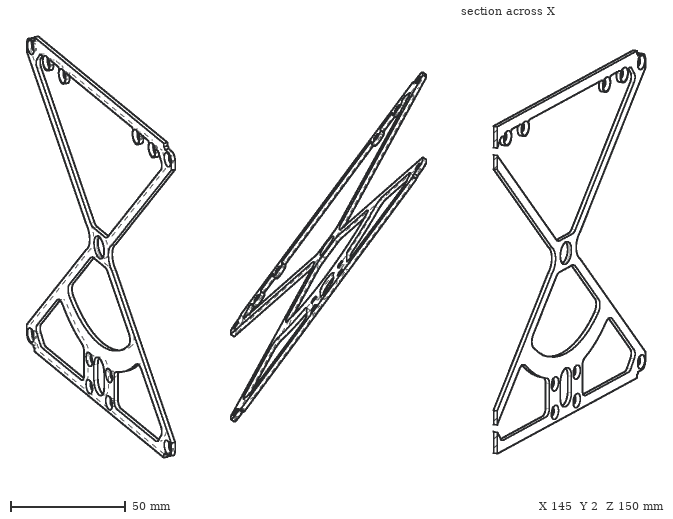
import cadquery as cq
import math

height = 150.0
width = 145.0
thickness = 2.0
half_height = height / 2
half_width = width / 2

waist_apex = 6.8
strut_foot = 65.1
strut_width = 4.6
bar_width = 4.8
bar_half_length = 65.0
waist_radius = 7.0
waist_half_width = 9.5
hub_half_height = 7.2
hub_hole_diameter = 10.0
strut_slope = strut_foot / (half_width - waist_apex)
strut_angle = math.atan(strut_slope)
inner_apex = waist_apex - strut_width / math.sin(strut_angle)
bar_inner = half_height - bar_width

screw_diameter = 3.5
countersink_diameter = 6.3
countersink_angle = 90.0
corner_inset = 3.9
corner_screw = half_width - corner_inset
corner_top = 72.5
corner_radius = 3.5
notch_fillet = 1.0
boss_radius = 3.6
boss_places = (37.0, 53.1)
boss_height = 67.4

gusset_x = 64.0
gusset_slope = 1.2
gusset_height = strut_slope * (gusset_x - inner_apex)
boss_ceiling = 69.2
pocket_fillet = 3.0
boss_fillet = 1.0

sector_inner_radius = 46.0
sector_outer_radius = 55.5
sector_fillet = 4.0
pad_half_width = 15.2
pad_screw_x = 9.9
pad_screw_heights = (-57.3, -70.4)
slot_width = 10.0
slot_top = -52.8
slot_bottom = -70.4


def prism(points):
    """Plate-thick prism over an XZ outline, centred on Y = 0."""
    return cq.Workplane("XZ").polyline(points).close().extrude(thickness / 2, both=True)


def disc(x, z, radius):
    return cq.Workplane("XZ").center(x, z).circle(radius).extrude(thickness / 2, both=True)


def strut_inner_x(z):
    """Distance from the centre line to a strut's inner edge."""
    return inner_apex + z / strut_slope


def gusset_edge_x(z):
    return gusset_x - (z - gusset_height) / gusset_slope


def both_sides(solid):
    return solid.union(solid.mirror("YZ"))


def frame_outline():
    """One quarter of the filled hourglass, mirrored left-right and top-bottom."""
    arc_offset = waist_half_width + waist_radius - waist_apex
    chord = arc_offset * math.cos(strut_angle) + math.sqrt(
        waist_radius**2 - (arc_offset * math.sin(strut_angle)) ** 2
    )
    quarter = (
        cq.Workplane("XZ")
        .moveTo(0, half_height)
        .lineTo(bar_half_length, half_height)
        .lineTo(bar_half_length, corner_top + notch_fillet)
        .radiusArc((bar_half_length + notch_fillet, corner_top), notch_fillet)
        .lineTo(half_width - corner_radius, corner_top)
        .radiusArc((half_width, corner_top - corner_radius), corner_radius)
        .lineTo(half_width, strut_foot)
        .lineTo(waist_apex + chord * math.cos(strut_angle), chord * math.sin(strut_angle))
        .radiusArc((waist_half_width, 0), -waist_radius)
        .lineTo(0, 0)
        .close()
        .extrude(thickness / 2, both=True)
    )
    half = both_sides(quarter)
    return half.union(half.mirror("XY")).clean()


def upper_pocket():
    """Large upper opening, with the screw bosses left standing at its top edge."""
    outer_boss = max(boss_places)
    side = [
        (strut_inner_x(hub_half_height), hub_half_height),
        (gusset_x, gusset_height),
        (gusset_edge_x(boss_ceiling), boss_ceiling),
        (outer_boss, boss_ceiling),
        (outer_boss, bar_inner),
    ]
    pocket = prism(side + [(-x, z) for x, z in reversed(side)])
    for x in boss_places:
        pocket = pocket.cut(both_sides(disc(x, boss_height, boss_radius)))
    near_bosses = cq.selectors.BoxSelector(
        (-half_width, -thickness, boss_height), (half_width, thickness, half_height)
    )
    pocket = pocket.edges("|Y").edges(near_bosses).fillet(boss_fillet)
    pocket = pocket.edges("|Y and (<X or >X)").fillet(pocket_fillet)
    return pocket.edges("|Y and <Z").fillet(sector_fillet)


def sector_pocket():
    """Fan-shaped opening below the hub, closed by an arc about the hub."""
    reach = sector_inner_radius
    side = [
        (strut_inner_x(hub_half_height), -hub_half_height),
        (strut_inner_x(reach), -reach),
    ]
    fan = prism(side + [(-x, z) for x, z in reversed(side)])
    return fan.intersect(disc(0, 0, reach)).edges("|Y").fillet(sector_fillet)


def lower_side_pocket():
    """Opening between strut, outer sector arc, pad and bottom bar."""
    blank = prism([
        (pad_half_width, -strut_slope * (pad_half_width - inner_apex)),
        (gusset_x, -gusset_height),
        (gusset_edge_x(bar_inner), -bar_inner),
        (pad_half_width, -bar_inner),
    ])
    pocket = blank.cut(disc(0, 0, sector_outer_radius))
    pocket = pocket.edges("|Y and (<X or >X or <Z)").fillet(pocket_fillet)
    return pocket.edges("|Y and >Z").fillet(sector_fillet)


def pad_slot():
    return (
        cq.Workplane("XZ")
        .center(0, (slot_top + slot_bottom) / 2)
        .slot2D(slot_top - slot_bottom, slot_width, 90)
        .extrude(thickness / 2, both=True)
    )


screw_places = [(corner_screw, corner_screw), (corner_screw, -corner_screw)]
screw_places += [(x, boss_height) for x in boss_places]
screw_places += [(pad_screw_x, z) for z in pad_screw_heights]

plate = (
    frame_outline()
    .cut(upper_pocket())
    .cut(sector_pocket())
    .cut(both_sides(lower_side_pocket()))
    .cut(pad_slot())
    .cut(disc(0, 0, hub_hole_diameter / 2))
)

result = (
    plate.faces("<Y")
    .workplane(origin=(0, -thickness / 2, 0))
    .pushPoints([(sign * x, z) for x, z in screw_places for sign in (-1, 1)])
    .cskHole(screw_diameter, countersink_diameter, countersink_angle)
)